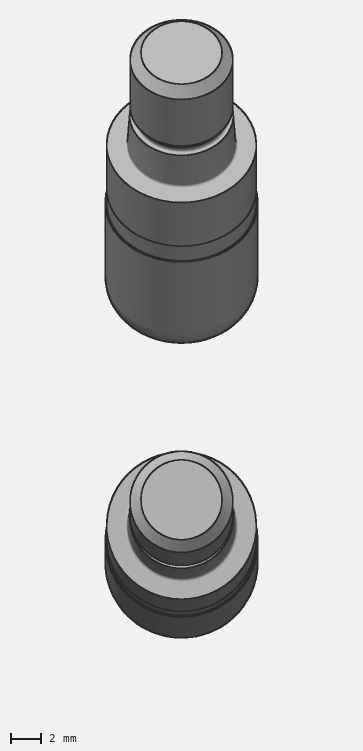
import cadquery as cq

total_height = 25.5
tip_radius = 5.0
barrel_radius = 4.9

tip_rounding = 2.5
sleeve_top = 10.0
tip_top = 11.5

shoulder_height = 16.01
neck_fillet = 0.18
neck_bottom_radius = 3.55
neck_top_radius = 3.4
neck_top = 19.05
groove_radius = 3.05
groove_fillet = 0.15
groove_top = 19.43
head_bottom = 20.0
head_radius = 3.37
head_chamfer = 0.71


def revolve_profile(profile):
    """Turn a closed radius-height profile a full revolution about the Z axis."""
    return profile.close().revolve(360, (0, 0, 0), (0, 1, 0))


def make_tip():
    """Round-ended tip with a small step up to its mating band."""
    profile = (
        cq.Workplane("XZ")
        .lineTo(tip_radius - tip_rounding, 0)
        .radiusArc((tip_radius, tip_rounding), -tip_rounding)
        .lineTo(tip_radius, sleeve_top)
        .lineTo(barrel_radius, sleeve_top)
        .lineTo(barrel_radius, tip_top)
        .lineTo(0, tip_top)
    )
    return revolve_profile(profile)


def make_stud():
    """Stepped stud that stands on the flat top of the tip."""
    profile = (
        cq.Workplane("XZ")
        .moveTo(0, tip_top)
        .lineTo(barrel_radius, tip_top)
        .lineTo(barrel_radius, shoulder_height)
        .lineTo(neck_bottom_radius + neck_fillet, shoulder_height)
        .radiusArc((neck_bottom_radius, shoulder_height + neck_fillet), neck_fillet)
        .lineTo(neck_top_radius, neck_top)
        .lineTo(groove_radius + groove_fillet, neck_top)
        .radiusArc((groove_radius, neck_top + groove_fillet), groove_fillet)
        .lineTo(groove_radius, groove_top)
        .lineTo(head_radius, head_bottom)
        .lineTo(head_radius, total_height - head_chamfer)
        .lineTo(head_radius - head_chamfer, total_height)
        .lineTo(0, total_height)
    )
    return revolve_profile(profile)


tip = make_tip()
stud = make_stud()

result = cq.Compound.makeCompound([tip.val(), stud.val()])